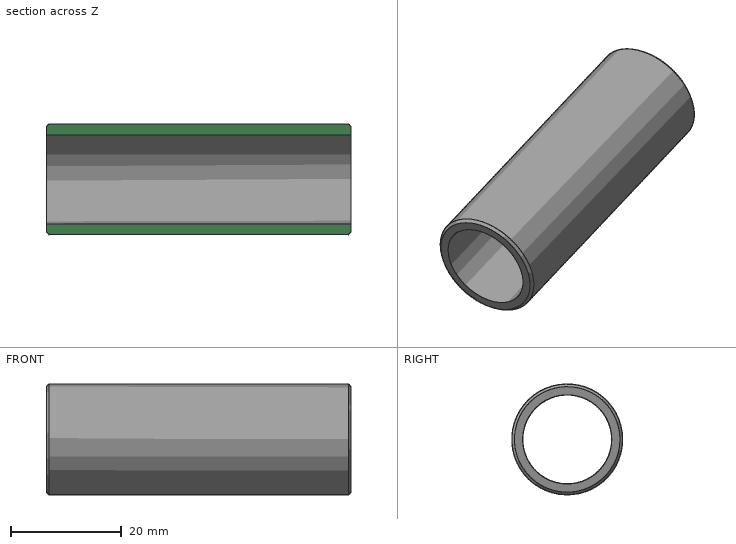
import cadquery as cq

length = 55.0
outer_diameter = 20.0
bore_diameter = 16.0
chamfer_size = 0.5

end_plane = cq.Workplane("YZ", origin=(-length / 2, 0, 0))

bar = end_plane.circle(outer_diameter / 2).extrude(length)
bar = bar.faces("<X or >X").chamfer(chamfer_size)

bore = end_plane.circle(bore_diameter / 2).extrude(length)

result = bar.cut(bore)